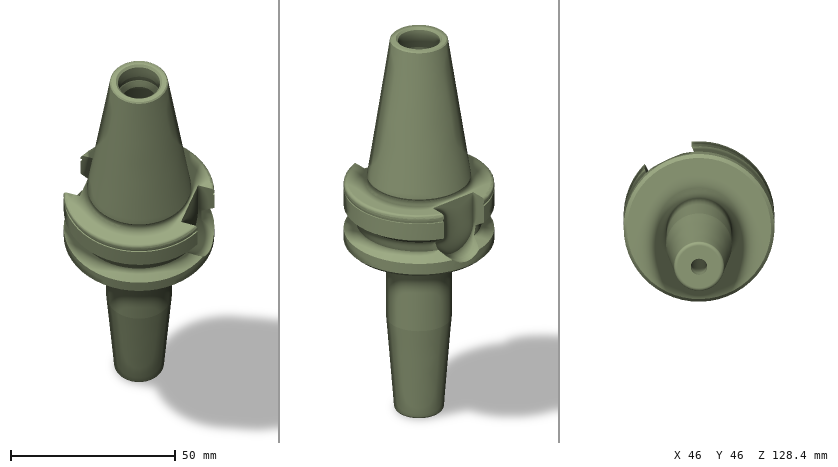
import cadquery as cq
import math

total_height = 128.4

shank_radius = 10.0
tip_radius = 15.3 / 2
tip_round = 1.0
nose_cone_top = 32.0
shank_fillet = 2.6

flange_radius = 23.0
flange_bottom = 57.8
flange_top = 79.0
bottom_chamfer = 1.0
top_round = 1.0
vee_radius = 19.1
vee_bottom = 62.5
vee_floor_bottom = 64.7
vee_floor_top = 67.9
vee_top = 70.6
ring_groove_bottom = 76.4
ring_groove_top = 77.3
ring_groove_depth = 0.4

taper_base_radius = 31.7 / 2
taper_base = 81.0
taper_top_radius = 8.9
taper_top_chamfer = 0.4
relief_radius = 15.5
relief_top = 80.4
relief_fillet = 1.0

slot_width = 15.9
slot_floor = 16.3
slot_bottom = 60.6

mouth_radius = 7.0
counterbore_radius = 6.4
counterbore_depth = 6.8
undercut_radius = 6.8
undercut_top_depth = 4.9
thread_radius = 5.1
thread_depth = 23.1
drill_point_angle = 118
through_radius = 5.0 / 2


def make_body():
    fillet_start = shank_radius + shank_fillet
    profile = (
        cq.Workplane("XZ")
        .lineTo(tip_radius - tip_round, 0)
        .radiusArc((tip_radius, tip_round), -tip_round)
        .lineTo(shank_radius, nose_cone_top)
        .lineTo(shank_radius, flange_bottom - shank_fillet)
        .radiusArc((fillet_start, flange_bottom), shank_fillet)
        .lineTo(flange_radius - bottom_chamfer, flange_bottom)
        .lineTo(flange_radius, flange_bottom + bottom_chamfer)
        .lineTo(flange_radius, vee_bottom)
        .lineTo(vee_radius, vee_floor_bottom)
        .lineTo(vee_radius, vee_floor_top)
        .lineTo(flange_radius, vee_top)
        .lineTo(flange_radius, ring_groove_bottom)
        .lineTo(flange_radius - ring_groove_depth, ring_groove_bottom)
        .lineTo(flange_radius - ring_groove_depth, ring_groove_top)
        .lineTo(flange_radius, ring_groove_top)
        .lineTo(flange_radius, flange_top - top_round)
        .radiusArc((flange_radius - top_round, flange_top), -top_round)
        .lineTo(relief_radius + relief_fillet, flange_top)
        .radiusArc((relief_radius, flange_top + relief_fillet), relief_fillet)
        .lineTo(relief_radius, relief_top)
        .lineTo(taper_base_radius, taper_base)
        .lineTo(taper_top_radius, total_height - taper_top_chamfer)
        .lineTo(taper_top_radius - taper_top_chamfer, total_height)
        .lineTo(0, total_height)
        .close()
    )
    return profile.revolve(360, (0, 0, 0), (0, 1, 0))


def make_bore():
    mouth_depth = mouth_radius - counterbore_radius
    step_depth = counterbore_depth + counterbore_radius - thread_radius
    drill_cone_height = (thread_radius - through_radius) / math.tan(math.radians(drill_point_angle / 2))
    drill_depth = thread_depth + drill_cone_height
    profile = (
        cq.Workplane("XZ")
        .lineTo(through_radius, 0)
        .lineTo(through_radius, total_height - drill_depth)
        .lineTo(thread_radius, total_height - thread_depth)
        .lineTo(thread_radius, total_height - step_depth)
        .lineTo(counterbore_radius, total_height - counterbore_depth)
        .lineTo(undercut_radius, total_height - counterbore_depth)
        .lineTo(undercut_radius, total_height - undercut_top_depth)
        .lineTo(counterbore_radius, total_height - undercut_top_depth)
        .lineTo(counterbore_radius, total_height - mouth_depth)
        .lineTo(mouth_radius, total_height)
        .lineTo(0, total_height)
        .close()
    )
    return profile.revolve(360, (0, 0, 0), (0, 1, 0))


def make_drive_slot(side):
    slot_radius = slot_width / 2
    arc_center = slot_bottom + slot_radius
    return (
        cq.Workplane("YZ", origin=(side * slot_floor, 0, 0))
        .moveTo(-slot_radius, taper_base)
        .lineTo(-slot_radius, arc_center)
        .threePointArc((0, slot_bottom), (slot_radius, arc_center))
        .lineTo(slot_radius, taper_base)
        .close()
        .extrude(side * flange_radius)
    )


result = make_body().cut(make_bore())
for side in (-1, 1):
    result = result.cut(make_drive_slot(side))